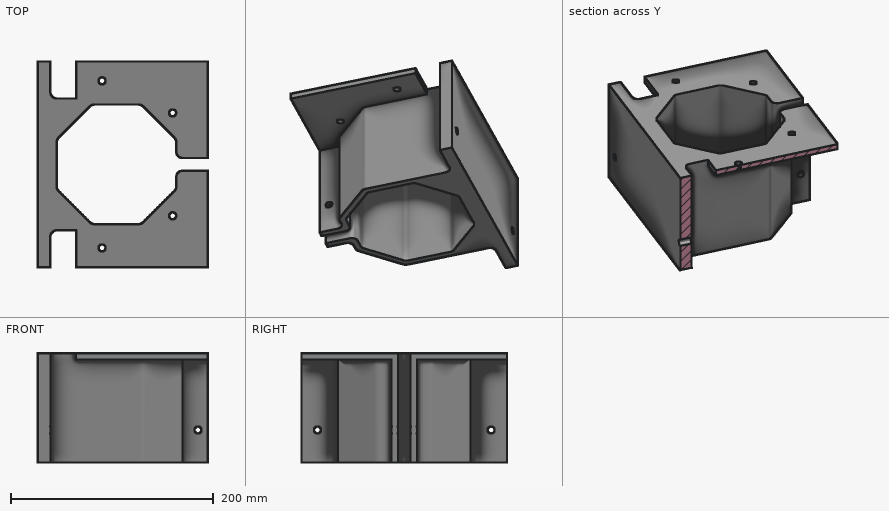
import cadquery as cq
import math

depth = 168.0
width = 203.2
height = 108.0

mount_thickness = 12.5
wall = 6.3
flange_thickness = 6.3
flange_start = 38.0
lug_thickness = 6.3

socket_center = 77.8
socket_half = 59.0
socket_corner_radius = 6.3
shell_corner_radius = 7.0

slit_width = 12.4
blend_radius = 6.3

hole_diameter = 6.7
flange_holes = [(63.5, 82.5), (133.3, 50.8)]
mount_hole_y = 85.8
side_hole_z = 32.1
lug_hole_x = 158.3

shell_half = socket_half + wall
lug_outer_y = slit_width / 2 + lug_thickness


def block(x_start, x_end, half_width, z_start=0.0):
    """Box centered on Y that rises from z_start to the top face."""
    return cq.Workplane("XY").box(
        x_end - x_start, 2 * half_width, height - z_start, centered=(False, True, False)
    ).translate((x_start, 0, z_start))


def octagon(half_size, corner_radius):
    """Full-height regular octagon with rounded vertical edges."""
    turn = math.pi / 4
    corner_distance = half_size / math.cos(turn / 2)
    corners = [
        (corner_distance * math.cos((i + 0.5) * turn), corner_distance * math.sin((i + 0.5) * turn))
        for i in range(8)
    ]
    prism = cq.Workplane("XY").polyline(corners).close().extrude(height)
    return prism.edges("|Z").fillet(corner_radius).translate((socket_center, 0, 0))


def fillet_upright_edges(body, x, y):
    """Round the two mirrored vertical edges at (x, +y) and (x, -y)."""
    for side in (-1, 1):
        body = body.edges(cq.NearestToPointSelector((x, side * y, height / 2))).fillet(blend_radius)
    return body


mount_plate = block(0, mount_thickness, width / 2)
shell = octagon(shell_half, shell_corner_radius)
shell_base = block(mount_thickness, socket_center, shell_half)
lugs = block(socket_center, depth, lug_outer_y)
body = mount_plate.union(shell_base).union(shell).union(lugs)
body = fillet_upright_edges(body, mount_thickness, shell_half)
body = fillet_upright_edges(body, socket_center + shell_half, lug_outer_y)

body = body.cut(octagon(socket_half, socket_corner_radius))
body = body.cut(block(socket_center, depth, slit_width / 2))

flange = block(flange_start, depth, width / 2, height - flange_thickness)
flange = flange.cut(octagon(socket_half, socket_corner_radius))
flange = flange.cut(block(socket_center, depth, slit_width / 2))
body = body.union(flange)

body = fillet_upright_edges(body, socket_center + socket_half, slit_width / 2)

hole_points = [(x, side * y) for x, y in flange_holes for side in (-1, 1)]
body = body.cut(
    cq.Workplane("XY").pushPoints(hole_points).circle(hole_diameter / 2).extrude(height)
)

mount_points = [(side * mount_hole_y, side_hole_z) for side in (-1, 1)]
body = body.cut(
    cq.Workplane("YZ").pushPoints(mount_points).circle(hole_diameter / 2).extrude(mount_thickness)
)

lug_hole = (
    cq.Workplane("XZ").center(lug_hole_x, side_hole_z).circle(hole_diameter / 2)
    .extrude(lug_outer_y, both=True)
)
result = body.cut(lug_hole)